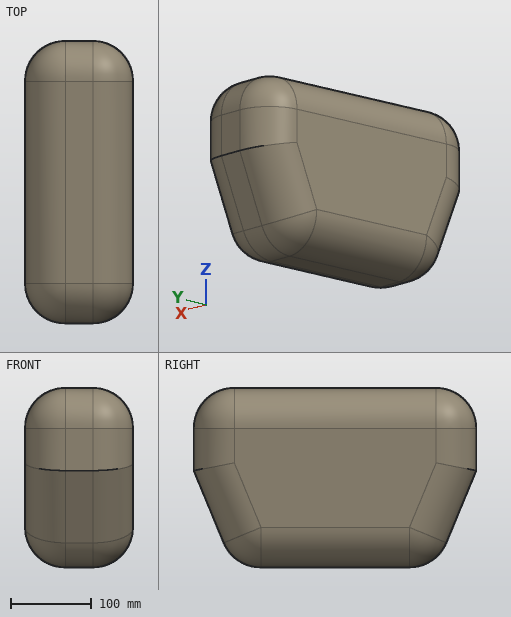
import cadquery as cq
import math

width = 134.0
length = 350.0
height = 222.5

edge_radius = 50.0
waist_height = 120.0
taper_angle = 22.5

overrun = 105.0
taper_slope = math.tan(math.radians(taper_angle))


def half_length_at(z):
    """Half length of the tapered lower blank at height z."""
    return length / 2 + (z - waist_height) * taper_slope


def symmetric_blank(bottom_z, bottom_half_length, top_z, top_half_length):
    """Full-width prism with a trapezoidal profile in the YZ plane."""
    return (
        cq.Workplane("YZ")
        .polyline([
            (-bottom_half_length, bottom_z),
            (bottom_half_length, bottom_z),
            (top_half_length, top_z),
            (-top_half_length, top_z),
        ])
        .close()
        .extrude(width / 2, both=True)
    )


upright_blank = (
    symmetric_blank(-overrun, length / 2, height, length / 2)
    .edges("not(<Z)")
    .fillet(edge_radius)
)

tapered_top = height + overrun
tapered_blank = (
    symmetric_blank(0, half_length_at(0), tapered_top, half_length_at(tapered_top))
    .edges("not(>Z)")
    .fillet(edge_radius)
)

result = upright_blank.intersect(tapered_blank)